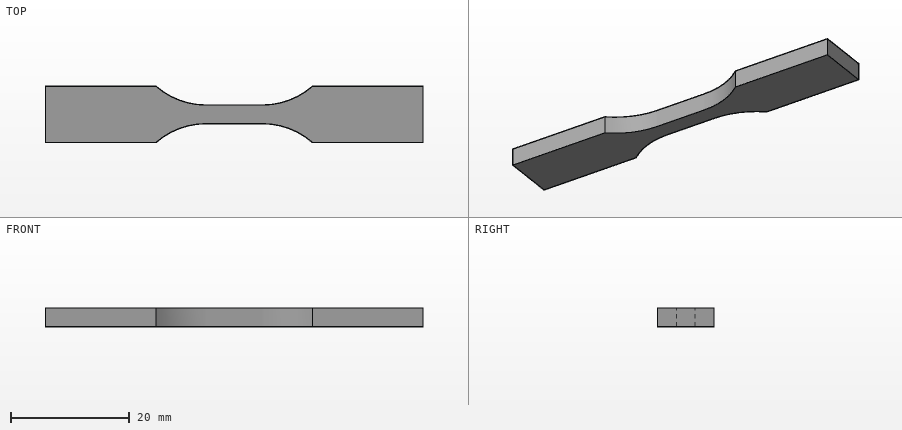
import cadquery as cq
import math

overall_length = 63.5
grip_width = 9.53
gauge_length = 9.53
gauge_width = 3.18
shoulder_radius = 12.7
thickness = 3.2

half_length = overall_length / 2
half_grip = grip_width / 2
half_neck = gauge_width / 2
neck_end = gauge_length / 2

shoulder_rise = half_grip - half_neck
shoulder_angle = math.acos(1 - shoulder_rise / shoulder_radius)
grip_start = neck_end + shoulder_radius * math.sin(shoulder_angle)

shoulder_mid_x = neck_end + shoulder_radius * math.sin(shoulder_angle / 2)
shoulder_mid_y = half_neck + shoulder_radius * (1 - math.cos(shoulder_angle / 2))


def specimen_outline():
    """Closed outline, drawn clockwise from the top-left corner."""
    return (
        cq.Workplane("XY")
        .moveTo(-half_length, half_grip)
        .lineTo(-grip_start, half_grip)
        .threePointArc((-shoulder_mid_x, shoulder_mid_y), (-neck_end, half_neck))
        .lineTo(neck_end, half_neck)
        .threePointArc((shoulder_mid_x, shoulder_mid_y), (grip_start, half_grip))
        .lineTo(half_length, half_grip)
        .lineTo(half_length, -half_grip)
        .lineTo(grip_start, -half_grip)
        .threePointArc((shoulder_mid_x, -shoulder_mid_y), (neck_end, -half_neck))
        .lineTo(-neck_end, -half_neck)
        .threePointArc((-shoulder_mid_x, -shoulder_mid_y), (-grip_start, -half_grip))
        .lineTo(-half_length, -half_grip)
        .close()
    )


result = specimen_outline().extrude(thickness)